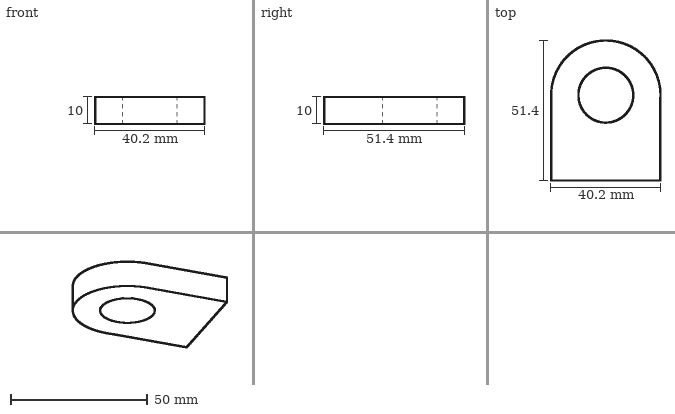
import cadquery as cq

length = 51.4
thickness = 10.0
end_radius = 20.1
hole_diameter = 20.05

block_left = -20.05
block_right = 19.95

front_y = end_radius - length
block_width = block_right - block_left
block_length = -front_y

block = (
    cq.Workplane("XY")
    .box(block_width, block_length, thickness, centered=False)
    .translate((block_left, front_y, 0))
)

rounded_end = cq.Workplane("XY").circle(end_radius).extrude(thickness)

hole = cq.Workplane("XY").circle(hole_diameter / 2).extrude(thickness)

result = block.union(rounded_end).cut(hole).clean()